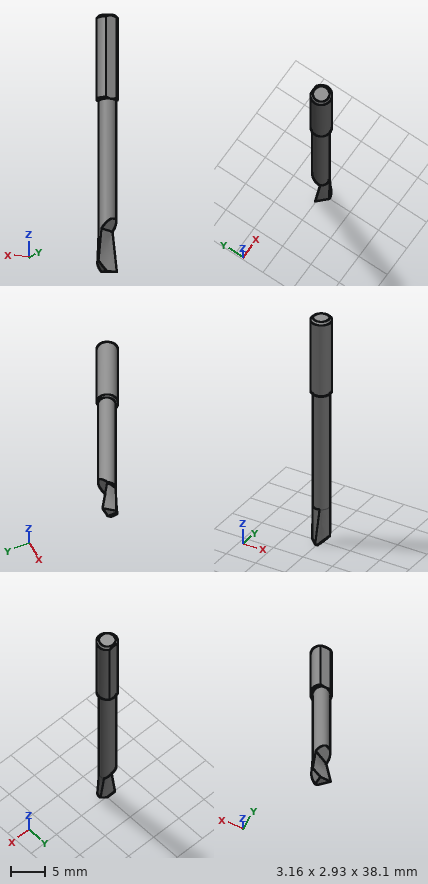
import cadquery as cq
import math

total_length = 38.1

shank_radius = 1.58
shank_bottom = 25.35
shank_flat_y = 1.353
top_chamfer = 0.4
bottom_chamfer = 0.35

neck_radius = 1.3
neck_center_y = shank_flat_y - neck_radius
neck_bottom = 6.1

ramp_rise = 1.5

cutting_edge_y = -0.57
crest_x = 0.42
rake_back_y = 0.57
cutting_point = (-1.55, 0.0)
bottom_crest = (-0.15, -1.5)
bottom_back = (1.52, 0.0)
bottom_round_radius = 1.52
nose_chamfer_x = 0.1
end_relief = 0.15
tool_space = 7.62


def neck_half_width(y):
    return math.sqrt(neck_radius**2 - (y - neck_center_y) ** 2)


neck_cutting_point = (-neck_half_width(cutting_edge_y), cutting_edge_y)
neck_back = (neck_half_width(rake_back_y), rake_back_y)
neck_crest = (crest_x, neck_center_y - math.sqrt(neck_radius**2 - crest_x**2))


def make_shank():
    shank = (
        cq.Workplane("XY", origin=(0, 0, shank_bottom))
        .circle(shank_radius)
        .extrude(total_length - shank_bottom)
        .faces(">Z").chamfer(top_chamfer)
        .faces("<Z").chamfer(bottom_chamfer)
    )
    flat_cutter = cq.Workplane("XY").box(
        tool_space, tool_space, total_length + 0.4, centered=(True, False, False)
    )
    return shank.cut(flat_cutter.translate((0, shank_flat_y, 0)))


def make_neck():
    neck = (
        cq.Workplane("XY", origin=(0, neck_center_y, neck_bottom))
        .circle(neck_radius)
        .extrude(shank_bottom + bottom_chamfer - neck_bottom)
    )
    rake_x = neck_back[0] - neck_cutting_point[0]
    rake_y = neck_back[1] - neck_cutting_point[1]
    ramp_plane = cq.Plane(
        origin=(*neck_cutting_point, neck_bottom),
        xDir=(-rake_y, rake_x, 0),
        normal=(rake_x, rake_y, 0),
    )
    ramp_cutter = (
        cq.Workplane(ramp_plane)
        .polyline([(0, 0), (neck_radius, ramp_rise), (tool_space, ramp_rise), (tool_space, 0)])
        .close()
        .extrude(tool_space, both=True)
    )
    return neck.cut(ramp_cutter)


def tip_section(height, edge, crest, back, center_y, radius):
    """Rake line, flank line and a round back between the crest and the rake."""
    crest_angle = math.atan2(crest[1] - center_y, crest[0])
    back_angle = math.atan2(back[1] - center_y, back[0])
    middle_angle = (crest_angle + back_angle) / 2
    middle = (radius * math.cos(middle_angle), center_y + radius * math.sin(middle_angle))
    points = [cq.Vector(x, y, height) for x, y in (edge, crest, middle, back)]
    return cq.Wire.assembleEdges([
        cq.Edge.makeLine(points[0], points[1]),
        cq.Edge.makeThreePointArc(points[1], points[2], points[3]),
        cq.Edge.makeLine(points[3], points[0]),
    ])


def make_tip():
    upper = tip_section(
        neck_bottom, neck_cutting_point, neck_crest, neck_back, neck_center_y, neck_radius
    )
    lower = tip_section(0, cutting_point, bottom_crest, bottom_back, 0, bottom_round_radius)
    tip = cq.Workplane(cq.Solid.makeLoft([lower, upper], True))

    nose_cutter = (
        cq.Workplane("XZ")
        .polyline([
            (nose_chamfer_x, 0),
            (nose_chamfer_x + tool_space, 0),
            (nose_chamfer_x + tool_space, tool_space),
        ])
        .close()
        .extrude(tool_space, both=True)
    )
    relief_cutter = (
        cq.Workplane("YZ")
        .polyline([(0, 0), (bottom_crest[1], end_relief), (2 * bottom_crest[1], 0)])
        .close()
        .extrude(tool_space, both=True)
    )
    return tip.cut(nose_cutter).cut(relief_cutter)


result = make_shank().union(make_neck()).union(make_tip())